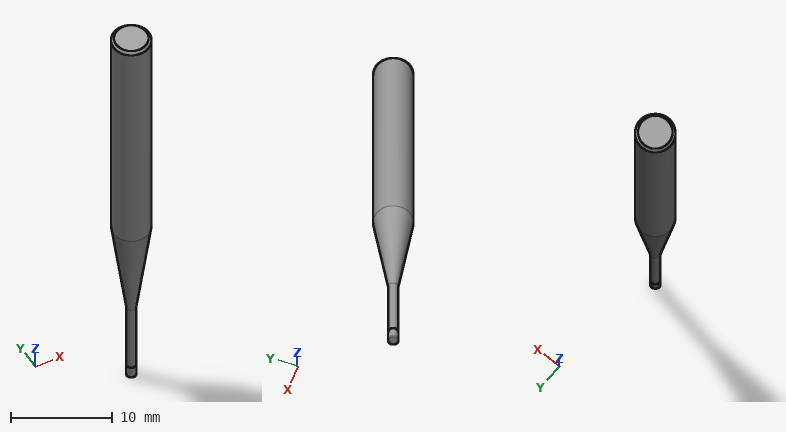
import cadquery as cq

TOTAL_LENGTH = 50.0
TIP_LENGTH = 1.5
NECK_TOP = 10.0
TAPER_TOP = 22.0

SHANK_DIAMETER = 4.0
NECK_DIAMETER = 1.0
TIP_DIAMETER = 1.05

SHANK_CHAMFER = 0.3
TIP_FILLET = 0.1


def make_shank():
    """Cylindrical shank, tapering down to a slender neck."""
    shank_radius = SHANK_DIAMETER / 2
    neck_radius = NECK_DIAMETER / 2
    return (
        cq.Workplane("XZ")
        .moveTo(0, TIP_LENGTH)
        .lineTo(neck_radius, TIP_LENGTH)
        .lineTo(neck_radius, NECK_TOP)
        .lineTo(shank_radius, TAPER_TOP)
        .lineTo(shank_radius, TOTAL_LENGTH - SHANK_CHAMFER)
        .lineTo(shank_radius - SHANK_CHAMFER, TOTAL_LENGTH)
        .lineTo(0, TOTAL_LENGTH)
        .close()
        .revolve(360, (0, 0), (0, 1))
    )


def make_tip():
    """Short cutting tip with a rounded lower edge, seated under the neck."""
    return (
        cq.Workplane("XY")
        .circle(TIP_DIAMETER / 2)
        .extrude(TIP_LENGTH)
        .faces("<Z")
        .edges()
        .fillet(TIP_FILLET)
    )


shank = make_shank()
tip = make_tip()
result = cq.Compound.makeCompound([shank.val(), tip.val()])